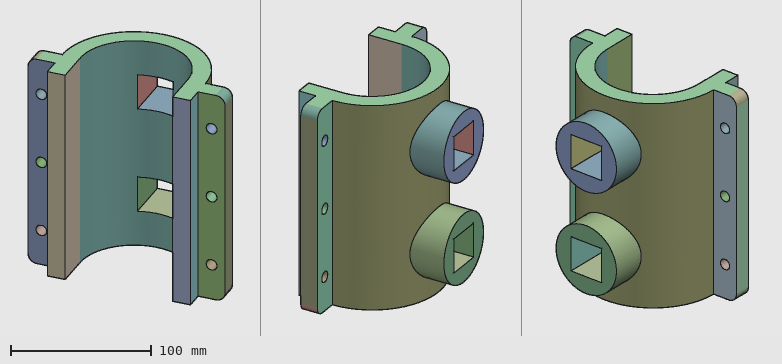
import cadquery as cq

length = 165.5
overall_width = 151.7
overall_depth = 103.4
wall = 13.7
outer_radius = 55.1
leg_length = 27.6
corner_radius = 7.0
bolt_diameter = 8.3
bolt_spacing_x = 131.0
bolt_pitch_z = 55.1
boss_diameter = 55.1
boss_pitch_z = 82.7
window_side = 27.6

inner_radius = outer_radius - wall
boss_end_y = overall_depth - leg_length


def make_arch(radius):
    """Solid half-round along Z, continued by straight sides to the leg ends."""
    return (
        cq.Workplane("XY")
        .workplane(offset=-length / 2)
        .moveTo(-radius, -leg_length)
        .lineTo(-radius, 0)
        .threePointArc((0, radius), (radius, 0))
        .lineTo(radius, -leg_length)
        .close()
        .extrude(length)
    )


def make_flange():
    """Drilled plate with rounded corners, spanning both sides of the saddle."""
    bolt_points = [
        (side * bolt_spacing_x / 2, row * bolt_pitch_z)
        for side in (-1, 1)
        for row in (-1, 0, 1)
    ]
    plate = (
        cq.Workplane("XZ")
        .rect(overall_width, length)
        .extrude(wall)
        .edges("|Y")
        .fillet(corner_radius)
    )
    bolts = cq.Workplane("XZ").pushPoints(bolt_points).circle(bolt_diameter / 2).extrude(wall)
    return plate.cut(bolts)


boss_centers = [(0, -boss_pitch_z / 2), (0, boss_pitch_z / 2)]
boss_plane = cq.Workplane("XZ", origin=(0, boss_end_y, 0)).pushPoints(boss_centers)
bosses = boss_plane.circle(boss_diameter / 2).extrude(boss_end_y)
windows = boss_plane.rect(window_side, window_side).extrude(boss_end_y)

body = make_arch(outer_radius).union(make_flange()).union(bosses)
result = body.cut(make_arch(inner_radius)).cut(windows)